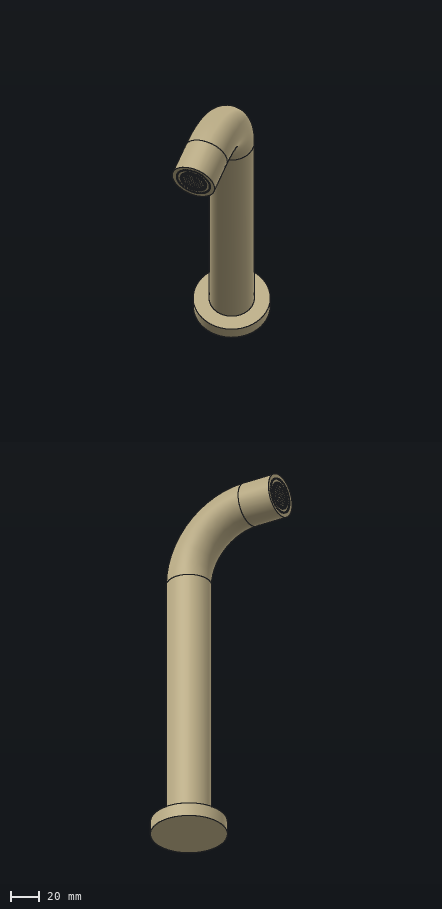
import cadquery as cq
import math

TOTAL_HEIGHT = 265.0
TOTAL_DEPTH = 102.0
FLANGE_DIAMETER = 54.0
FLANGE_HEIGHT = 10.0
TUBE_DIAMETER = 31.8
BEND_RADIUS = 50.0
NOZZLE_LENGTH = 25.0

AERATOR_DIAMETER = 25.5
AERATOR_THICKNESS = 5.3
SERRATION_COUNT = 72
SERRATION_DEPTH = 0.8
SERRATION_TURN = 4.0

SLOT_COUNT = 36
SLOT_INNER_RADIUS = 8.0
SLOT_OUTER_RADIUS = 9.8

HOLE_SIZE = 0.32
HOLE_PITCH = 1.65
GRID_TURN = 12.0

TUBE_RADIUS = TUBE_DIAMETER / 2
SPOUT_HEIGHT = TOTAL_HEIGHT - TUBE_RADIUS
RISER_TOP = SPOUT_HEIGHT - BEND_RADIUS
SERRATION_PITCH = 360 / SERRATION_COUNT
SLOT_PITCH = 360 / SLOT_COUNT
MOUTH_REACH = TOTAL_DEPTH - FLANGE_DIAMETER / 2


def on_mouth():
    """Workplane on the nozzle mouth, centred on its axis; positive extrusion runs out of the mouth."""
    return cq.Workplane("XZ", origin=(0, -MOUTH_REACH, SPOUT_HEIGHT))


def polar(radius, degrees):
    angle = math.radians(degrees)
    return (radius * math.cos(angle), radius * math.sin(angle))


def make_flange():
    return cq.Workplane("XY").circle(FLANGE_DIAMETER / 2).extrude(FLANGE_HEIGHT)


def make_riser():
    base = cq.Workplane("XY").workplane(offset=FLANGE_HEIGHT)
    return base.circle(TUBE_RADIUS).extrude(RISER_TOP - FLANGE_HEIGHT)


def make_elbow():
    """Quarter bend from straight up to straight forward."""
    start = cq.Workplane("XY").workplane(offset=RISER_TOP)
    return start.circle(TUBE_RADIUS).revolve(90, (0, -BEND_RADIUS, 0), (1, -BEND_RADIUS, 0))


def make_nozzle():
    nozzle = on_mouth().circle(TUBE_RADIUS).extrude(-NOZZLE_LENGTH)
    seat = on_mouth().circle(AERATOR_DIAMETER / 2).extrude(-AERATOR_THICKNESS)
    return nozzle.cut(seat)


def serrated_disc():
    """Aerator blank whose sharp rim teeth just reach the nozzle bore."""
    tip_radius = AERATOR_DIAMETER / 2
    root_radius = tip_radius - SERRATION_DEPTH
    outline = []
    for index in range(SERRATION_COUNT):
        root_angle = SERRATION_TURN + index * SERRATION_PITCH
        outline.append(polar(root_radius, root_angle))
        outline.append(polar(tip_radius, root_angle + SERRATION_PITCH / 2))
    return on_mouth().polyline(outline).close().extrude(-AERATOR_THICKNESS)


def slot_ring():
    """Annular sectors to be cut through the aerator."""
    ring = on_mouth()
    for index in range(SLOT_COUNT):
        middle = index * SLOT_PITCH
        first = middle - SLOT_PITCH / 4
        last = middle + SLOT_PITCH / 4
        ring = (
            ring.moveTo(*polar(SLOT_INNER_RADIUS, first))
            .lineTo(*polar(SLOT_OUTER_RADIUS, first))
            .threePointArc(polar(SLOT_OUTER_RADIUS, middle), polar(SLOT_OUTER_RADIUS, last))
            .lineTo(*polar(SLOT_INNER_RADIUS, last))
            .threePointArc(polar(SLOT_INNER_RADIUS, middle), polar(SLOT_INNER_RADIUS, first))
            .close()
        )
    return ring.extrude(-AERATOR_THICKNESS)


def hole_centres():
    """Centres of the square holes that fit inside the ring of slots, before the grid is turned."""
    reach = math.ceil(SLOT_INNER_RADIUS / HOLE_PITCH)
    steps = [(index + 0.5) * HOLE_PITCH for index in range(-reach, reach)]
    limit = SLOT_INNER_RADIUS - HOLE_SIZE
    return [(x, z) for x in steps for z in steps if math.hypot(x, z) < limit]


def make_aerator():
    grid_plane = on_mouth().transformed(rotate=(0, 0, GRID_TURN))
    holes = grid_plane.pushPoints(hole_centres()).rect(HOLE_SIZE, HOLE_SIZE).extrude(-AERATOR_THICKNESS)
    return serrated_disc().cut(slot_ring()).cut(holes)


flange = make_flange()
riser = make_riser()
elbow = make_elbow()
nozzle = make_nozzle()
aerator = make_aerator()

result = cq.Compound.makeCompound(
    [flange.val(), riser.val(), elbow.val(), nozzle.val(), aerator.val()]
)